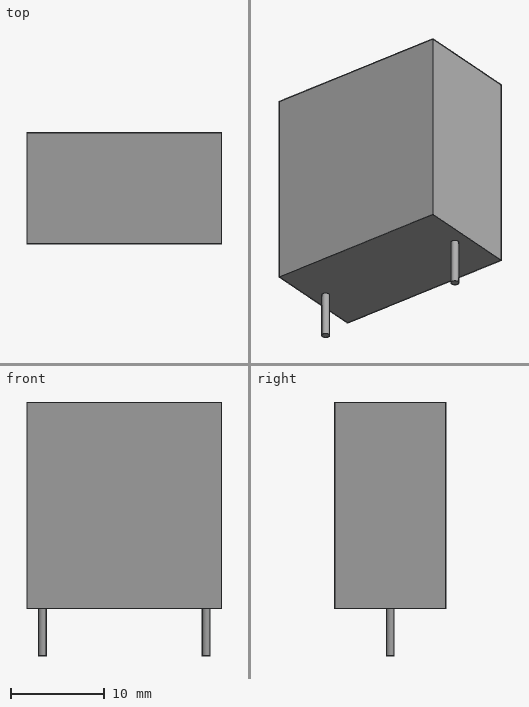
import cadquery as cq

total_height = 27.1
case_length = 20.8
case_width = 11.9

pin_diameter = 0.85
pin_length = 5.07
pin_spacing = 17.5

case_height = total_height - pin_length


def make_case():
    """Rectangular case standing on the Z = 0 plane."""
    return cq.Workplane("XY").box(case_length, case_width, case_height, centered=(True, True, False))


def make_pin(x):
    """Round pin hanging from the underside of the case at the given X."""
    return cq.Workplane("XY").center(x, 0).circle(pin_diameter / 2).extrude(-pin_length)


case = make_case()
pins = [make_pin(side * pin_spacing / 2) for side in (-1, 1)]

result = cq.Compound.makeCompound([case.val(), *[pin.val() for pin in pins]])